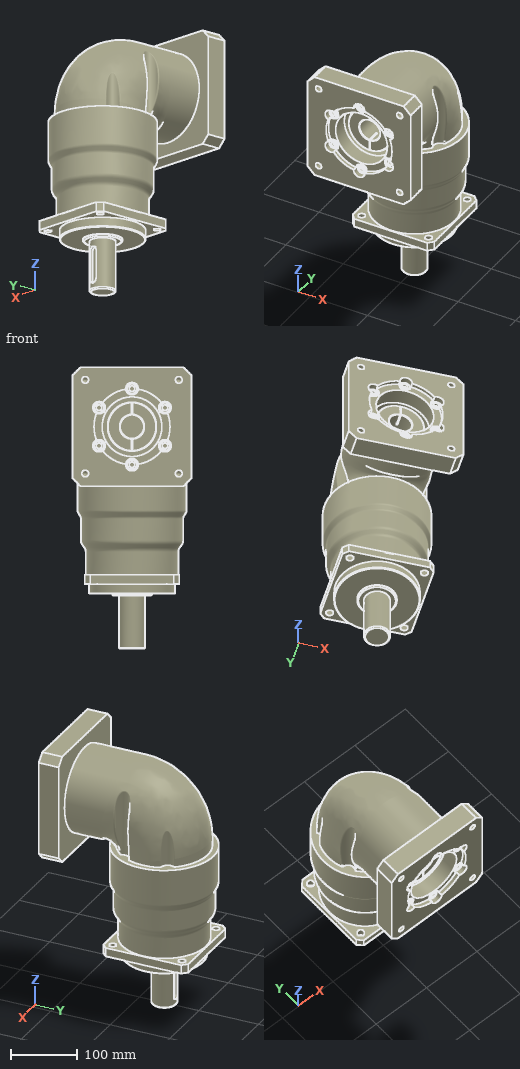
import cadquery as cq
import math


OVERALL_HEIGHT = 425.0
PLATE_SIDE = 180.0
PLATE_THICKNESS = 33.5
PLATE_CORNER_CUT = 12.5
PLATE_FRONT_Y = -167.0
PLATE_BACK_Y = PLATE_FRONT_Y + PLATE_THICKNESS
INPUT_Z = OVERALL_HEIGHT - PLATE_SIDE / 2
MOTOR_PILOT_RADIUS = 57.5
MOTOR_PILOT_DEPTH = 7.2
INPUT_BORE_RADIUS = 45.0
MOTOR_HOLE_PITCH = 141.0
MOTOR_HOLE_RADIUS = 5.0
MOTOR_HOLE_DEPTH = 25.5
DRILL_TIP_HALF_ANGLE = math.radians(59)

SCREW_COUNT = 6
SCREW_CIRCLE_RADIUS = MOTOR_PILOT_RADIUS
COUNTERBORE_RADIUS = 9.5
SCREW_HEAD_RADIUS = 8.0
SCREW_HEAD_CHAMFER = 1.0
SCREW_SEAT_DEPTH = 18.5
SCREW_HEAD_HEIGHT = 10.0
SOCKET_RADIUS = 4.3
SOCKET_DEPTH = 5.0

NECK_DIAMETER = 140.0
NECK_RADIUS = NECK_DIAMETER / 2
HUB_RADIUS = 37.0
HUB_BORE_RADIUS = 18.0
HUB_CHAMFER = 1.0
HUB_FACE_DEPTH = 32.0
HUB_LENGTH = 21.3
HUB_BORE_DEPTH = 59.5
HUB_SLOT_WIDTH = 1.5

ELBOW_FOOT_RADIUS = 72.5
ELBOW_ARC_RADIUS = 119.5
ELBOW_PIVOT_Y = -91.0
ELBOW_PIVOT_Z = 264.5
ELBOW_SECTIONS = 7
SCALLOP_RADIUS = 11.5
SCALLOP_X = 66.8
SCALLOP_Y = 38.3
SCALLOP_EDGE_RADIUS = 2.0

TOP_RING_RADIUS = 82.5
MIDDLE_RING_RADIUS = 77.5
LOWER_RING_RADIUS = 70.0
HOUSING_TOP_Z = 268.7
UPPER_BLEND_TOP_Z = 209.0
UPPER_BLEND_BOTTOM_Z = 196.5
UPPER_BLEND_ANGLE = math.radians(30)
LOWER_BLEND_TOP_Z = 163.3
LOWER_BLEND_BOTTOM_Z = 146.5
LOWER_BLEND_ANGLE = math.radians(35)
FLANGE_TOP_Z = 112.3
FLANGE_BOTTOM_Z = 98.0
OUTPUT_PILOT_RADIUS = 65.0
OUTPUT_PILOT_BOTTOM_Z = 83.0
OUTPUT_PILOT_CHAMFER = 1.3
SEAL_RADIUS = 30.0
SEAL_BOTTOM_Z = 80.0
SEAL_CHAMFER = 2.0

FLANGE_SIDE = 143.0
FLANGE_CORNER_CUT = 8.0
FLANGE_HOLE_PITCH = 116.5
FLANGE_HOLE_RADIUS = 5.5

SHAFT_RADIUS = 20.0
SHAFT_CHAMFER = 2.0
KEYWAY_WIDTH = 12.0
KEYWAY_DEPTH = 5.0
KEYWAY_BOTTOM_Z = 10.5
KEYWAY_TOP_Z = 68.5


def input_rod(radius, start_depth, end_depth, x=0.0, z=0.0):
    """Cylinder along Y between two depths behind the plate front, offset from the input axis."""
    start = cq.Vector(x, PLATE_FRONT_Y + start_depth, INPUT_Z + z)
    return cq.Workplane(cq.Solid.makeCylinder(radius, end_depth - start_depth, start, cq.Vector(0, 1, 0)))


def screw_places():
    """X and Z offsets of the plate screws from the input axis."""
    angles = [math.pi / 2 + 2 * math.pi * i / SCREW_COUNT for i in range(SCREW_COUNT)]
    return [(SCREW_CIRCLE_RADIUS * math.cos(a), SCREW_CIRCLE_RADIUS * math.sin(a)) for a in angles]


def motor_hole(x, z):
    """Blind drilled hole with a conical end, sunk from the plate front."""
    tip = MOTOR_HOLE_RADIUS / math.tan(DRILL_TIP_HALF_ANGLE)
    end = cq.Vector(x, PLATE_FRONT_Y + MOTOR_HOLE_DEPTH, INPUT_Z + z)
    cone = cq.Solid.makeCone(MOTOR_HOLE_RADIUS, 0, tip, end, cq.Vector(0, 1, 0))
    return input_rod(MOTOR_HOLE_RADIUS, 0, MOTOR_HOLE_DEPTH, x, z).union(cq.Workplane(cone))


def screw_head(x, z):
    """Socket head that fills the lower part of its counterbore."""
    top = SCREW_SEAT_DEPTH - SCREW_HEAD_HEIGHT
    head = input_rod(SCREW_HEAD_RADIUS, top, SCREW_SEAT_DEPTH, x, z)
    head = head.faces("<Y").edges().chamfer(SCREW_HEAD_CHAMFER)
    return head.cut(input_rod(SOCKET_RADIUS, top, top + SOCKET_DEPTH, x, z))


def make_motor_plate():
    plate = cq.Workplane("XY").box(PLATE_SIDE, PLATE_THICKNESS, PLATE_SIDE)
    plate = plate.translate((0, PLATE_FRONT_Y + PLATE_THICKNESS / 2, INPUT_Z))
    plate = plate.edges("|Y").chamfer(PLATE_CORNER_CUT)
    plate = plate.cut(input_rod(MOTOR_PILOT_RADIUS, 0, MOTOR_PILOT_DEPTH))
    plate = plate.cut(input_rod(INPUT_BORE_RADIUS, 0, PLATE_THICKNESS))
    for side_x in (-1, 1):
        for side_z in (-1, 1):
            plate = plate.cut(motor_hole(side_x * MOTOR_HOLE_PITCH / 2, side_z * MOTOR_HOLE_PITCH / 2))
    for x, z in screw_places():
        plate = plate.cut(input_rod(COUNTERBORE_RADIUS, 0, SCREW_SEAT_DEPTH, x, z))
        plate = plate.union(screw_head(x, z))
    return plate


def s_blend(profile, start_radius, start_z, end_radius, end_z, cone_angle):
    """Drop to a blend's start, then run to its end over an arc, a cone and an equal opposite arc."""
    step = start_radius - end_radius
    drop = start_z - end_z
    arc_slope = math.tan(cone_angle / 2)
    cone_slope = math.tan(cone_angle)
    arc_drop = (drop * cone_slope - step) / (2 * (cone_slope - arc_slope))
    arc_step = arc_drop * arc_slope
    return (
        profile.lineTo(start_radius, start_z)
        .tangentArcPoint((start_radius - arc_step, start_z - arc_drop), relative=False)
        .lineTo(end_radius + arc_step, end_z + arc_drop)
        .tangentArcPoint((end_radius, end_z), relative=False)
    )


def make_turned_housing():
    """Stepped housing, seal collar and shaft as one turned shape about Z."""
    profile = cq.Workplane("XZ").moveTo(0, HOUSING_TOP_Z).lineTo(TOP_RING_RADIUS, HOUSING_TOP_Z)
    profile = s_blend(
        profile,
        TOP_RING_RADIUS,
        UPPER_BLEND_TOP_Z,
        MIDDLE_RING_RADIUS,
        UPPER_BLEND_BOTTOM_Z,
        UPPER_BLEND_ANGLE,
    )
    profile = s_blend(
        profile,
        MIDDLE_RING_RADIUS,
        LOWER_BLEND_TOP_Z,
        LOWER_RING_RADIUS,
        LOWER_BLEND_BOTTOM_Z,
        LOWER_BLEND_ANGLE,
    )
    profile = (
        profile.lineTo(LOWER_RING_RADIUS, FLANGE_BOTTOM_Z)
        .lineTo(OUTPUT_PILOT_RADIUS, FLANGE_BOTTOM_Z)
        .lineTo(OUTPUT_PILOT_RADIUS, OUTPUT_PILOT_BOTTOM_Z + OUTPUT_PILOT_CHAMFER)
        .lineTo(OUTPUT_PILOT_RADIUS - OUTPUT_PILOT_CHAMFER, OUTPUT_PILOT_BOTTOM_Z)
        .lineTo(SEAL_RADIUS, OUTPUT_PILOT_BOTTOM_Z)
        .lineTo(SEAL_RADIUS, SEAL_BOTTOM_Z + SEAL_CHAMFER)
        .lineTo(SEAL_RADIUS - SEAL_CHAMFER, SEAL_BOTTOM_Z)
        .lineTo(SHAFT_RADIUS, SEAL_BOTTOM_Z)
        .lineTo(SHAFT_RADIUS, SHAFT_CHAMFER)
        .lineTo(SHAFT_RADIUS - SHAFT_CHAMFER, 0)
        .lineTo(0, 0)
        .close()
    )
    return profile.revolve(360, (0, 0), (0, 1))


def make_keyway():
    """Round-ended slot in the +Y side of the shaft."""
    length = KEYWAY_TOP_Z - KEYWAY_BOTTOM_Z
    middle_z = (KEYWAY_TOP_Z + KEYWAY_BOTTOM_Z) / 2
    slot = cq.Workplane("XZ", origin=(0, SHAFT_RADIUS, middle_z)).slot2D(length, KEYWAY_WIDTH, 90)
    return slot.extrude(KEYWAY_DEPTH)


def make_output_flange():
    flange = cq.Workplane("XY", origin=(0, 0, FLANGE_BOTTOM_Z)).rect(FLANGE_SIDE, FLANGE_SIDE)
    flange = flange.extrude(FLANGE_TOP_Z - FLANGE_BOTTOM_Z).edges("|Z").chamfer(FLANGE_CORNER_CUT)
    holes = flange.faces(">Z").workplane().rect(FLANGE_HOLE_PITCH, FLANGE_HOLE_PITCH, forConstruction=True)
    return holes.vertices().hole(2 * FLANGE_HOLE_RADIUS)


def elbow_section(inner, outer, half_width):
    """Ellipse across the plane X = 0, from its inner point to its outer point, each given as (Y, Z)."""
    inner_point = cq.Vector(0, *inner)
    across = cq.Vector(0, *outer) - inner_point
    along_x = cq.Vector(1, 0, 0)
    return cq.Wire.makeEllipse(
        across.Length / 2, half_width, inner_point + across * 0.5, across.cross(along_x), across
    )


def make_elbow():
    """Bend whose sections fan about a pivot at its inner corner, with round stubs at both ends."""
    top_z = INPUT_Z + NECK_RADIUS
    bottom_z = INPUT_Z - NECK_RADIUS
    arc_y = ELBOW_FOOT_RADIUS - ELBOW_ARC_RADIUS
    arc_z = top_z - ELBOW_ARC_RADIUS

    def along_ray(outer, fraction):
        return (
            ELBOW_PIVOT_Y + fraction * (outer[0] - ELBOW_PIVOT_Y),
            ELBOW_PIVOT_Z + fraction * (outer[1] - ELBOW_PIVOT_Z),
        )

    neck_gap = (bottom_z - ELBOW_PIVOT_Z) / (top_z - ELBOW_PIVOT_Z)
    foot_gap = (-ELBOW_FOOT_RADIUS - ELBOW_PIVOT_Y) / (ELBOW_FOOT_RADIUS - ELBOW_PIVOT_Y)

    sections = []
    for i in range(ELBOW_SECTIONS):
        share = i / (ELBOW_SECTIONS - 1)
        angle = math.pi / 2 * (1 - share)
        outer = (arc_y + ELBOW_ARC_RADIUS * math.cos(angle), arc_z + ELBOW_ARC_RADIUS * math.sin(angle))
        inner = along_ray(outer, neck_gap + share * (foot_gap - neck_gap))
        half_width = NECK_RADIUS + share * (ELBOW_FOOT_RADIUS - NECK_RADIUS)
        sections.append(elbow_section(inner, outer, half_width))

    neck_end = elbow_section((PLATE_BACK_Y, bottom_z), (PLATE_BACK_Y, top_z), NECK_RADIUS)
    foot_z = UPPER_BLEND_TOP_Z
    foot_end = elbow_section((-ELBOW_FOOT_RADIUS, foot_z), (ELBOW_FOOT_RADIUS, foot_z), ELBOW_FOOT_RADIUS)
    neck = cq.Workplane(cq.Solid.makeLoft([neck_end, sections[0]], True))
    bend = cq.Workplane(cq.Solid.makeLoft(sections, False))
    foot = cq.Workplane(cq.Solid.makeLoft([sections[-1], foot_end], True))
    return neck.union(bend).union(foot)


def make_scallops():
    """Four upright round cutters that hollow the elbow flanks above the housing top."""
    places = cq.Workplane("XY", origin=(0, 0, HOUSING_TOP_Z))
    places = places.rect(2 * SCALLOP_X, 2 * SCALLOP_Y, forConstruction=True).vertices()
    return places.circle(SCALLOP_RADIUS).extrude(OVERALL_HEIGHT - HOUSING_TOP_Z)


def make_hub_recess():
    """Round recess in the neck end, around the clamping hub."""
    return input_rod(INPUT_BORE_RADIUS, HUB_FACE_DEPTH, HUB_FACE_DEPTH + HUB_LENGTH)


def make_hub():
    """Split clamping hub standing on the recess floor and reaching into the plate bore."""
    floor_depth = HUB_FACE_DEPTH + HUB_LENGTH
    hub = input_rod(HUB_RADIUS, HUB_FACE_DEPTH, floor_depth)
    slot = cq.Workplane("XY").box(HUB_SLOT_WIDTH, HUB_LENGTH, 2 * HUB_RADIUS)
    slot = slot.translate((0, PLATE_FRONT_Y + HUB_FACE_DEPTH + HUB_LENGTH / 2, INPUT_Z))
    bore = input_rod(HUB_BORE_RADIUS, HUB_FACE_DEPTH, floor_depth)
    return hub.cut(bore).faces("<Y").edges().chamfer(HUB_CHAMFER).cut(slot)


def make_gearbox():
    elbow = make_elbow().cut(make_scallops())
    elbow = elbow.faces("%CYLINDER").edges("not %CIRCLE").fillet(SCALLOP_EDGE_RADIUS)
    gearbox = elbow.union(make_turned_housing()).union(make_output_flange())
    gearbox = gearbox.cut(make_keyway()).cut(make_hub_recess()).union(make_hub())
    return gearbox.cut(input_rod(HUB_BORE_RADIUS, HUB_FACE_DEPTH, HUB_FACE_DEPTH + HUB_BORE_DEPTH))


motor_plate = make_motor_plate()
gearbox = make_gearbox()
result = cq.Compound.makeCompound([motor_plate.solids().val(), gearbox.solids().val()])